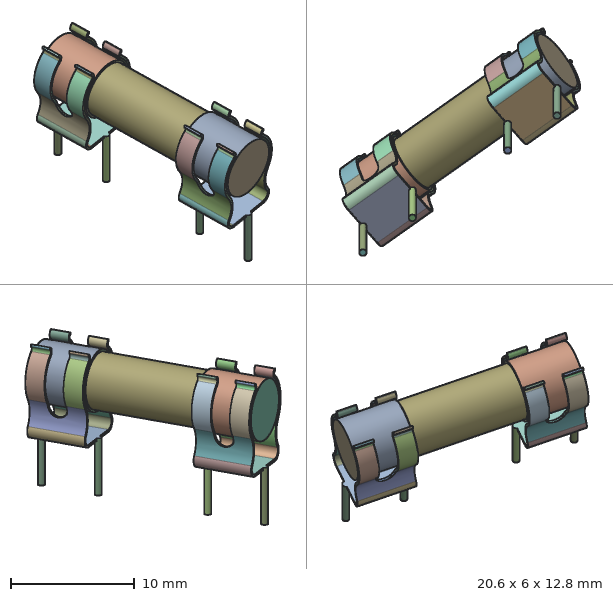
import cadquery as cq
import math


OVERALL_LENGTH = 20.6

TUBE_DIAMETER = 4.8
CAP_DIAMETER = 5.2
CAP_LENGTH = 5.15
CAP_SPACING = 14.91

CLIP_LENGTH = CAP_LENGTH
SHEET = 0.2
CLIP_WIDTH = 6.0
GRIP_RADIUS = (CLIP_WIDTH - SHEET) / 2
WAIST_RADIUS = 2.29
BEND_RADIUS = 0.65
BEND_Y = 1.87
LIP_RADIUS = 0.35
LIP_START_ANGLE = 51.4
LIP_TIP_ANGLE = 60.0
FLOOR_BOTTOM = -5.13

SLOT_WIDTH = CLIP_LENGTH / 3
SLOT_BOTTOM = -2.88

PIN_DIAMETER = 0.6
PIN_SPACING = OVERALL_LENGTH - CAP_SPACING - PIN_DIAMETER
PIN_BOTTOM = -9.9

floor_middle = FLOOR_BOTTOM + SHEET / 2
floor_top = FLOOR_BOTTOM + SHEET


def polar(center, radius, angle):
    """Point at a radius and an angle in radians from a centre."""
    return (center[0] + radius * math.cos(angle), center[1] + radius * math.sin(angle))


def side_curve():
    """Points (Y, Z) of one clip side: a start point, then a (middle, end) pair for each arc.

    The lip, grip, waist and bend arcs are tangent to each other and end on the flat floor.
    """
    grip_center = (0, 0)
    bend_center = (BEND_Y, floor_middle + BEND_RADIUS)

    grip_to_waist = GRIP_RADIUS + WAIST_RADIUS
    bend_to_waist = BEND_RADIUS + WAIST_RADIUS
    grip_to_bend = math.hypot(*bend_center)
    corner_cosine = (grip_to_waist**2 + grip_to_bend**2 - bend_to_waist**2) / (
        2 * grip_to_waist * grip_to_bend
    )
    waist_angle = math.atan2(bend_center[1], bend_center[0]) + math.acos(corner_cosine)
    waist_center = polar(grip_center, grip_to_waist, waist_angle)
    bend_angle = math.atan2(waist_center[1] - bend_center[1], waist_center[0] - bend_center[0])

    lip_angle = math.radians(LIP_START_ANGLE)
    lip_center = polar(grip_center, GRIP_RADIUS + LIP_RADIUS, lip_angle)
    tip_angle = math.pi - math.radians(LIP_TIP_ANGLE)

    arcs = [
        (lip_center, LIP_RADIUS, tip_angle, math.pi + lip_angle),
        (grip_center, GRIP_RADIUS, lip_angle, waist_angle),
        (waist_center, WAIST_RADIUS, math.pi + waist_angle, math.pi + bend_angle),
        (bend_center, BEND_RADIUS, bend_angle, -math.pi / 2),
    ]
    start = polar(lip_center, LIP_RADIUS, tip_angle)
    pairs = []
    for center, radius, first, last in arcs:
        pairs.append((polar(center, radius, (first + last) / 2), polar(center, radius, last)))
    return start, pairs


def mirrored(point):
    """The same (Y, Z) point on the opposite side of the clip."""
    return (-point[0], point[1])


def clip_strip():
    """Bent sheet with rounded tips, centred on X = 0."""
    start, pairs = side_curve()
    path = cq.Workplane("YZ", origin=(-CLIP_LENGTH / 2, 0, 0)).moveTo(*start)
    for middle, end in pairs:
        path = path.threePointArc(middle, end)
    floor_start = pairs[-1][1]
    path = path.lineTo(*mirrored(floor_start))

    arc_ends = [start] + [end for _, end in pairs[:-1]]
    for (middle, _), end in zip(reversed(pairs), reversed(arc_ends)):
        path = path.threePointArc(mirrored(middle), mirrored(end))
    return path.wire().offset2D(SHEET / 2).extrude(CLIP_LENGTH)


def finger_slot():
    """Round-bottomed slot through both sides of a clip, open at the top."""
    round_center = SLOT_BOTTOM + SLOT_WIDTH / 2
    height = CLIP_WIDTH - round_center
    round_end = (
        cq.Workplane("XZ")
        .center(0, round_center)
        .circle(SLOT_WIDTH / 2)
        .extrude(CLIP_WIDTH, both=True)
    )
    opening = cq.Workplane("XY").box(SLOT_WIDTH, 2 * CLIP_WIDTH, height, centered=(True, True, False))
    return round_end.union(opening.translate((0, 0, round_center)))


def make_clip(x):
    """Spring clip with its two solder pins, centred at the given X."""
    pins = (
        cq.Workplane("XY", origin=(0, 0, PIN_BOTTOM))
        .pushPoints([(-PIN_SPACING / 2, 0), (PIN_SPACING / 2, 0)])
        .circle(PIN_DIAMETER / 2)
        .extrude(floor_top - PIN_BOTTOM)
    )
    return clip_strip().cut(finger_slot()).union(pins).translate((x, 0, 0))


def make_cap(x):
    """Solid end cap of the fuse, centred at the given X."""
    return cq.Workplane("YZ", origin=(x - CAP_LENGTH / 2, 0, 0)).circle(CAP_DIAMETER / 2).extrude(CAP_LENGTH)


def make_tube():
    """Fuse tube that fills the space between the caps."""
    length = CAP_SPACING - CAP_LENGTH
    return cq.Workplane("YZ", origin=(-length / 2, 0, 0)).circle(TUBE_DIAMETER / 2).extrude(length)


tube = make_tube()
caps = []
clips = []
for x in (-CAP_SPACING / 2, CAP_SPACING / 2):
    caps.append(make_cap(x).val())
    clips.append(make_clip(x).val())

result = cq.Compound.makeCompound([tube.val(), *caps, *clips])